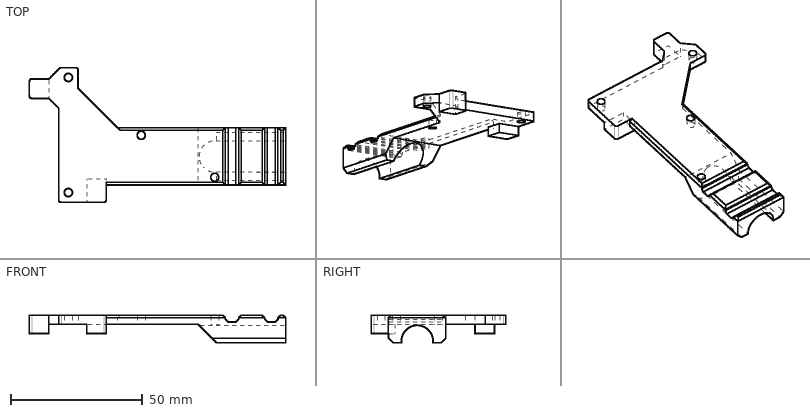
import cadquery as cq
import math


overall_length = 97.7

plate_thickness = 3.5
corner_radius = 1.0
hole_diameter = 3.0
hole_edge_distance = 3.75
motor_hole_pitch = 31.0
mount_hole_spacing = motor_hole_pitch * math.sqrt(2)
mount_centre_y = 8.1
plate_bottom_y = mount_centre_y - mount_hole_spacing / 2 - hole_edge_distance
plate_top_y = mount_centre_y + mount_hole_spacing / 2 + hole_edge_distance
upper_lug_width = 2 * hole_edge_distance
lower_lug_width = 18.25
brace_corner_y = 25.9

tab_length = 11.15
tab_width = 7.5
tab_bottom_y = 22.0
tab_top_y = tab_bottom_y + tab_width

foot_length = 7.5
foot_bottom_z = -7.0
lower_foot_width = 9.0

arm_width = 21.9
arm_end_x = overall_length - tab_length
arm_hole_y = 8.0
arm_hole_positions = [(31.5, arm_hole_y), (59.5, -arm_hole_y)]
top_chamfer = 1.0
block_height = 10.5
block_start_x = 53.1
bottom_chamfer = 1.8
rod_radius = 6.0
rod_axis_z = -9.9

groove_width = 5.0
groove_depth = 2.5
groove_floor_chamfer = 1.0
groove_centres_x = [66.07, 81.07]


def make_plate():
    """Mounting plate with its tab, two lugs and the 45 degree brace running into the arm."""
    half_arm_land = arm_width / 2 - top_chamfer
    tab_neck_x = foot_length - tab_length
    brace_end_x = upper_lug_width + brace_corner_y - half_arm_land
    rounded_corners = [
        (-tab_length, tab_bottom_y),
        (-tab_length, tab_top_y),
        (tab_neck_x + plate_top_y - tab_top_y, plate_top_y),
        (upper_lug_width, plate_top_y),
        (lower_lug_width, plate_bottom_y),
        (0, plate_bottom_y),
    ]
    tab_lower, tab_upper, lug_left, lug_right, foot_right, foot_left = rounded_corners
    outline = [
        foot_left,
        foot_right,
        (lower_lug_width, half_arm_land),
        (brace_end_x, half_arm_land),
        (upper_lug_width, brace_corner_y),
        lug_right,
        lug_left,
        (tab_neck_x, tab_top_y),
        tab_upper,
        tab_lower,
        (tab_neck_x, tab_bottom_y),
        (0, tab_bottom_y + tab_neck_x),
    ]
    plate = cq.Workplane("XY").polyline(outline).close().extrude(foot_bottom_z)
    for x, y in rounded_corners:
        corner_edge = cq.selectors.NearestToPointSelector((x, y, foot_bottom_z / 2))
        plate = plate.edges(corner_edge).fillet(corner_radius)
    return plate.intersect(make_plate_envelope())


def box_between(x_range, y_range, z_range):
    """Box spanning the given (min, max) ranges."""
    sizes = [high - low for low, high in (x_range, y_range, z_range)]
    corner = cq.Vector(x_range[0], y_range[0], z_range[0])
    return cq.Workplane("XY").box(*sizes, centered=False).translate(corner)


def make_plate_envelope():
    """Slab of plate thickness with two deeper blocks where the feet stand below it."""
    slab = box_between((-tab_length, arm_end_x), (plate_bottom_y, plate_top_y), (-plate_thickness, 0))
    tab_foot = box_between(
        (-tab_length, foot_length - tab_length), (tab_bottom_y, tab_top_y), (foot_bottom_z, 0)
    )
    lower_foot = box_between(
        (lower_lug_width - foot_length, lower_lug_width),
        (plate_bottom_y, plate_bottom_y + lower_foot_width),
        (foot_bottom_z, 0),
    )
    return slab.union(tab_foot).union(lower_foot)


def make_arm():
    """Arm with the clamp block: side profile trimmed by the end profile, with a bevelled right end."""
    ramp_run = block_height - plate_thickness
    side_profile = [
        (lower_lug_width, 0),
        (arm_end_x - top_chamfer, 0),
        (arm_end_x, -top_chamfer),
        (arm_end_x, -block_height),
        (block_start_x + ramp_run, -block_height),
        (block_start_x, -plate_thickness),
        (lower_lug_width, -plate_thickness),
    ]
    half_width = arm_width / 2
    end_profile = [
        (-half_width + top_chamfer, 0),
        (half_width - top_chamfer, 0),
        (half_width, -top_chamfer),
        (half_width, -block_height + bottom_chamfer),
        (half_width - bottom_chamfer, -block_height),
        (-half_width + bottom_chamfer, -block_height),
        (-half_width, -block_height + bottom_chamfer),
        (-half_width, -top_chamfer),
    ]
    side = cq.Workplane("XZ").polyline(side_profile).close().extrude(half_width, both=True)
    end = cq.Workplane("YZ").polyline(end_profile).close().extrude(arm_end_x)
    return side.intersect(end)


def make_rod_channel():
    """Round channel along the underside of the clamp block."""
    return cq.Workplane("YZ").center(0, rod_axis_z).circle(rod_radius).extrude(arm_end_x)


def make_groove(centre_x):
    """Tie groove with a chamfered mouth, short upright walls and a chamfered floor."""
    half_mouth = groove_width / 2 + top_chamfer
    half_slot = groove_width / 2
    half_floor = half_slot - groove_floor_chamfer
    right_side = [
        (half_floor, -groove_depth),
        (half_slot, groove_floor_chamfer - groove_depth),
        (half_slot, -top_chamfer),
        (half_mouth, 0),
    ]
    left_side = [(-x, z) for x, z in reversed(right_side)]
    profile = cq.Workplane("XZ").polyline(right_side + left_side).close()
    return profile.extrude(arm_width, both=True).translate((centre_x, 0, 0))


def make_screw_holes():
    """Screw holes one plate thickness deep: through the plate, blind in the clamp block."""
    mount_holes = [
        (hole_edge_distance, mount_centre_y + side * mount_hole_spacing / 2) for side in (-1, 1)
    ]
    points = mount_holes + arm_hole_positions
    return cq.Workplane("XY").pushPoints(points).circle(hole_diameter / 2).extrude(-plate_thickness)


result = make_plate().union(make_arm().cut(make_rod_channel()))
for groove_x in groove_centres_x:
    result = result.cut(make_groove(groove_x))
result = result.cut(make_screw_holes())